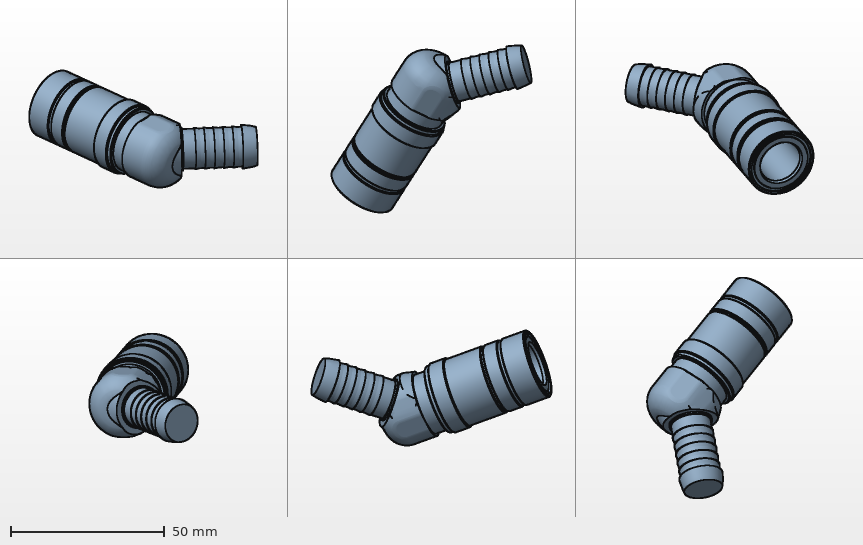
import cadquery as cq
import math

overall_length = 72.0

body_d = 23.0
body_end = 35.5
edge_bevel = 0.35
groove_d = 22.4
groove_spans = [(8.2, 9.8), (14.4, 15.7)]
collar_d = 24.0
collar_start = 28.2
collar_end = 34.0
neck_d = 20.5

mouth_d = 21.0
sleeve_d = 18.8
sleeve_face_x = 0.2
sleeve_gap_depth = 0.85
bore_d = 14.1
bore_mouth_d = 14.9
bore_bevel_length = 1.1
bore_depth = body_end

elbow_d = 22.0
elbow_start = 39.9
elbow_round = 7.2
elbow_round_start = 47.9
elbow_end = elbow_round_start + elbow_round

flat_half_width = 2.8
flat_edge_half_width = 3.9
elbow_r = elbow_d / 2
flat_blend_r = elbow_r * (1 - flat_half_width / flat_edge_half_width)
flat_z = flat_blend_r + math.sqrt((elbow_r - flat_blend_r) ** 2 - flat_half_width ** 2)

barb_angle = 45.0
barb_seat_y = 6.2
seat_face_r = 9.1
cone_depth = 6.5
cone_slope = 0.45
cone_bound_y = 12.6
cone_bound_z = 10.45
shoulder_d = 14.1
shoulder_height = 0.65
barb_d = 13.0
ridge_d = 13.5
first_ridge = 4.75
ridge_pitch = 3.1
ridge_count = 5
ridge_length = ridge_pitch / 2
tip_start = 20.15
tip_d = 14.4
tip_mid_d = 13.8
tip_end_d = 12.6
barb_length = 24.9
barb_reach_x = (barb_length + tip_end_d / 2) * math.cos(math.radians(barb_angle))
barb_seat_x = overall_length - barb_reach_x


def disc(diameter, start, end):
    """Solid cylinder along X."""
    return cq.Workplane("YZ", origin=(start, 0, 0)).circle(diameter / 2).extrude(end - start)


def groove(start, end):
    """Ring cutter with sides sloping at 45 degrees."""
    depth = (body_d - groove_d) / 2
    profile = [
        (start, body_d / 2),
        (start + depth, groove_d / 2),
        (end - depth, groove_d / 2),
        (end, body_d / 2),
    ]
    return cq.Workplane("XY").polyline(profile).close().revolve(360, (0, 0, 0), (1, 0, 0))


def turned_body():
    body = disc(body_d, 0, body_end).faces("<X or >X").chamfer(edge_bevel)
    for start, end in groove_spans:
        body = body.cut(groove(start, end))
    collar = disc(collar_d, collar_start, collar_end).faces("<X or >X").chamfer(edge_bevel)
    return body.union(collar).union(disc(neck_d, body_end, elbow_start))


def bore():
    """Bore cutter, including the ring gap around the inner sleeve."""
    profile = [
        (0, 0),
        (0, mouth_d / 2),
        (sleeve_gap_depth, mouth_d / 2),
        (sleeve_gap_depth, sleeve_d / 2),
        (sleeve_face_x, sleeve_d / 2),
        (sleeve_face_x, bore_mouth_d / 2),
        (sleeve_face_x + bore_bevel_length, bore_d / 2),
        (bore_depth, bore_d / 2),
        (bore_depth, 0),
    ]
    return cq.Workplane("XY").polyline(profile).close().revolve(360, (0, 0, 0), (1, 0, 0))


def place_barb(shape):
    """Turn a shape lying along X onto the barb axis."""
    turned = shape.rotate((0, 0, 0), (0, 0, 1), barb_angle)
    return turned.translate((barb_seat_x, barb_seat_y, 0))


def elbow():
    block = disc(elbow_d, elbow_start, elbow_end).faces(">X").edges().fillet(elbow_round)
    slab = (
        cq.Workplane("XY", origin=(elbow_start, 0, 0))
        .box(elbow_end - elbow_start, elbow_d, 2 * flat_z, centered=(False, True, True))
    )
    block = block.intersect(slab)
    block = block.faces("<Z or >Z").edges("not <X").fillet(flat_blend_r)
    cone = (
        cq.Workplane("XY")
        .polyline([
            (-cone_depth, 0),
            (-cone_depth, seat_face_r + cone_slope * cone_depth),
            (0, seat_face_r),
            (0, 0),
        ])
        .close()
        .revolve(360, (0, 0, 0), (1, 0, 0))
    )
    cone_bound = (
        cq.Workplane("YZ", origin=(elbow_start, 0, 0))
        .ellipse(cone_bound_y, cone_bound_z)
        .extrude(elbow_d)
    )
    block = block.union(place_barb(cone).intersect(cone_bound))
    beyond_seat = place_barb(disc(2 * elbow_d, 0, elbow_d))
    return block.cut(beyond_seat)


def barb():
    profile = (
        cq.Workplane("XY")
        .moveTo(-cone_depth, 0)
        .lineTo(-cone_depth, barb_d / 2)
        .lineTo(0, barb_d / 2)
        .lineTo(0, shoulder_d / 2)
        .lineTo(shoulder_height, shoulder_d / 2)
        .lineTo(shoulder_height, barb_d / 2)
    )
    for index in range(ridge_count):
        ridge = first_ridge + index * ridge_pitch
        profile = (
            profile.lineTo(ridge, barb_d / 2)
            .lineTo(ridge, ridge_d / 2)
            .lineTo(ridge + ridge_length, barb_d / 2)
        )
    profile = (
        profile.lineTo(tip_start, barb_d / 2)
        .lineTo(tip_start, tip_d / 2)
        .threePointArc(((tip_start + barb_length) / 2, tip_mid_d / 2), (barb_length, tip_end_d / 2))
        .lineTo(barb_length, 0)
        .close()
    )
    return place_barb(profile.revolve(360, (0, 0, 0), (1, 0, 0)))


result = turned_body().union(elbow()).union(barb()).cut(bore())